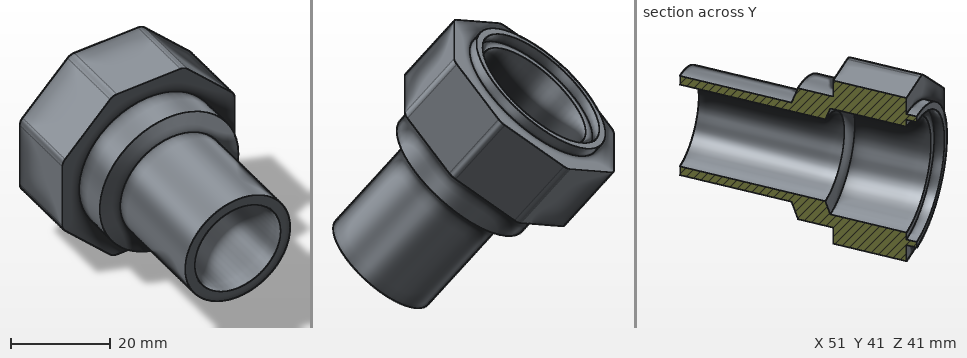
import cadquery as cq
import math

total_length = 51.0

body_diameter = 33.0
spigot_diameter = 25.0
body_end = 25.6
spigot_start = 27.0

across_flats = 41.0
collar_start = 2.2
collar_end = 18.0
corner_radius = 2.25
flat_count = 8

mouth_diameter = 29.93
mouth_depth = collar_start
socket_diameter = 26.44
socket_depth = 18.6
bore_diameter = 20.4

cone_length_per_diameter = (spigot_start - body_end) / (body_diameter - spigot_diameter)
bore_start = socket_depth + cone_length_per_diameter * (socket_diameter - bore_diameter)


def revolve_about_x(profile):
    """Turn a list of (x, radius) points into a solid of revolution about X."""
    return cq.Workplane("XY").polyline(profile).close().revolve(360, (0, 0, 0), (1, 0, 0))


def make_body():
    """Cylindrical body that tapers down to the spigot."""
    return revolve_about_x([
        (0, 0),
        (0, body_diameter / 2),
        (body_end, body_diameter / 2),
        (spigot_start, spigot_diameter / 2),
        (total_length, spigot_diameter / 2),
        (total_length, 0),
    ])


def make_collar():
    """Octagon with flats facing Y and Z and rounded corners."""
    half_angle = math.pi / flat_count
    across_corners = across_flats / math.cos(half_angle)
    return (
        cq.Workplane("YZ", origin=(collar_start, 0, 0))
        .transformed(rotate=(0, 0, math.degrees(half_angle)))
        .polygon(flat_count, across_corners)
        .extrude(collar_end - collar_start)
        .edges("|X")
        .fillet(corner_radius)
    )


def make_passage():
    """Stepped mouth, socket, conical transition and through bore."""
    return revolve_about_x([
        (0, 0),
        (0, mouth_diameter / 2),
        (mouth_depth, mouth_diameter / 2),
        (mouth_depth, socket_diameter / 2),
        (socket_depth, socket_diameter / 2),
        (bore_start, bore_diameter / 2),
        (total_length, bore_diameter / 2),
        (total_length, 0),
    ])


result = make_body().union(make_collar()).cut(make_passage())